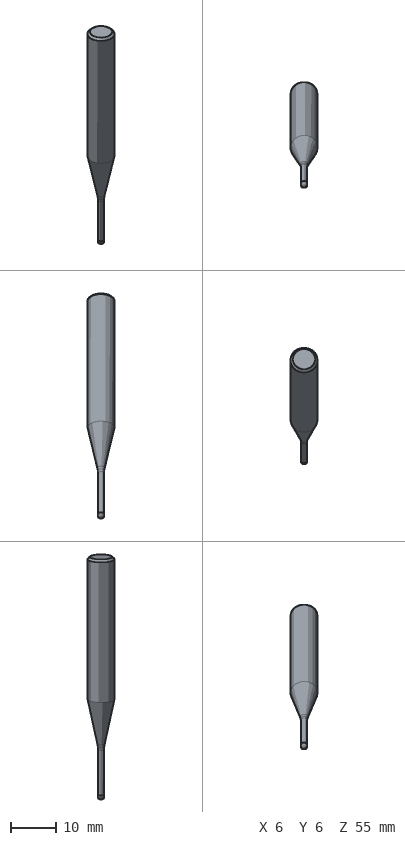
import cadquery as cq
import math

total_length = 55.0
shank_radius = 3.0
shank_chamfer = 0.55
shank_bottom = 22.75
ball_radius = 0.75
cutter_length = 1.1
neck_radius = 0.7
neck_top = 11.4
blend_middle = 12.0
cone_bottom = 12.65

blend_rise = cone_bottom - neck_top
cone_height = shank_bottom - cone_bottom
total_widening = shank_radius - neck_radius
refinement_steps = 20
half_tangent = 0.0
for _ in range(refinement_steps):
    half_tangent = total_widening / (blend_rise + 2 * cone_height / (1 - half_tangent**2))
cone_half_angle = 2 * math.atan(half_tangent)
blend_radius = blend_rise / math.sin(cone_half_angle)


def blend_point(height):
    """Profile point on the concave blend arc at the given Z."""
    angle = math.asin((height - neck_top) / blend_radius)
    return (neck_radius + blend_radius * (1 - math.cos(angle)), height)


def blend_arc_middle(low, high):
    """Point on the blend arc between two heights."""
    return blend_point((low + high) / 2)


def make_cutter():
    """Ball nose with the short cylindrical cutting length above it."""
    ball_45 = ball_radius * math.sqrt(0.5)
    return (
        cq.Workplane("XZ")
        .moveTo(0, 0)
        .threePointArc((ball_45, ball_radius - ball_45), (ball_radius, ball_radius))
        .lineTo(ball_radius, cutter_length)
        .lineTo(0, cutter_length)
        .close()
        .revolve(360, (0, 0, 0), (0, 1, 0), clean=False)
    )


def make_shank():
    """Neck, concave blend in two stretches, cone, and chamfered shank."""
    return (
        cq.Workplane("XZ")
        .moveTo(0, cutter_length)
        .lineTo(neck_radius, cutter_length)
        .lineTo(neck_radius, neck_top)
        .threePointArc(blend_arc_middle(neck_top, blend_middle), blend_point(blend_middle))
        .threePointArc(blend_arc_middle(blend_middle, cone_bottom), blend_point(cone_bottom))
        .lineTo(shank_radius, shank_bottom)
        .lineTo(shank_radius, total_length - shank_chamfer)
        .lineTo(shank_radius - shank_chamfer, total_length)
        .lineTo(0, total_length)
        .close()
        .revolve(360, (0, 0, 0), (0, 1, 0), clean=False)
    )


cutter = make_cutter()
shank = make_shank()

result = cq.Compound.makeCompound([cutter.val(), shank.val()])